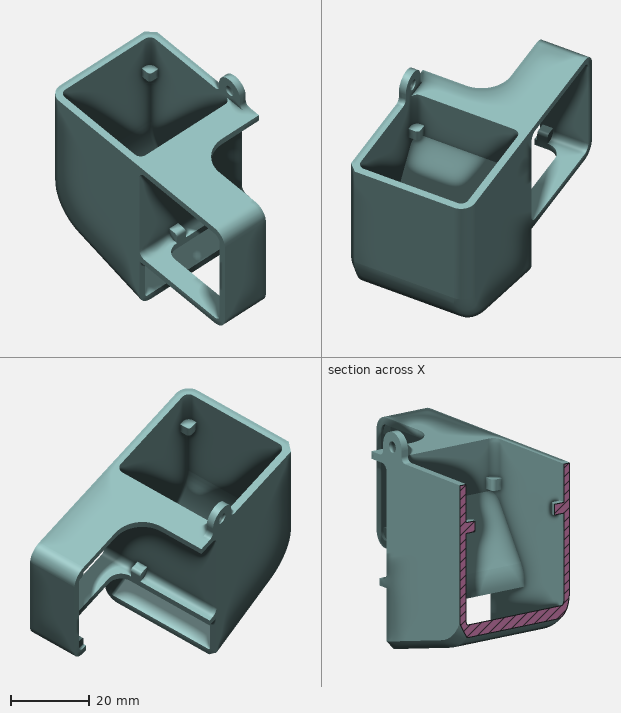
import math

import cadquery as cq

wall = 2.0
opening = 31.0
box = opening + 2 * wall
outer_radius = 4.0
opening_radius = 2.0

total_width = 2 * box - wall
frame_depth = 14.0
plate_right = 41.6
plate_radius = 8.5

fan_depth = 10.2
stop_size = 3.0
stop_radius = 1.0
stop_overlap = 0.5

floor_angle = 14.25
bend_radius = 14.0
bend_start = -31.87
rear_chamfer = outer_radius * (2 - math.sqrt(2))
floor_radius = 0.7

deflector_angle = 56.6
deflector_top = -14.0
nose_radius = 10.6
nose_x = 20.1

notch_front = 6.0
notch_radius = 4.0

lug_x = 32.5
lug_height = 3.25
lug_radius = 4.0
lug_thickness = 2.0
lug_foot_radius = 1.5
lug_hole = 3.0


def on_xz(y):
    """Sketch plane parallel to XZ at the given Y; extrusions run toward +Y."""
    return cq.Workplane(cq.Plane(origin=(0, y, 0), xDir=(1, 0, 0), normal=(0, -1, 0)))


def pot_profile(y, depth, inset):
    """Pot side outline, offset inward by inset on its left side and floor."""
    angle = math.radians(floor_angle)
    radius = bend_radius - inset
    middle = (math.pi / 2 - angle) / 2
    middle_point = (bend_radius - radius * math.cos(middle), bend_start - radius * math.sin(middle))
    floor_x = bend_radius - radius * math.sin(angle)
    floor_z = bend_start - radius * math.cos(angle)
    end_z = floor_z - (box - floor_x) * math.tan(angle)
    return (
        on_xz(y)
        .moveTo(box, 0)
        .lineTo(inset, 0)
        .lineTo(inset, bend_start)
        .threePointArc(middle_point, (floor_x, floor_z))
        .lineTo(box, end_z)
        .close()
        .extrude(-depth)
    )


def outline_edges(solid, y):
    """Edges of the left side, bend and floor lying in the plane at the given Y."""
    near = 0.01
    right_limit = box - near
    selector = cq.selectors.BoxSelector((-near, y - near, -2 * box), (right_limit, y + near, -near))
    return solid.edges(selector)


def pot_body():
    body = pot_profile(0, box, 0)
    body = outline_edges(body, 0).fillet(outer_radius)
    return outline_edges(body, box).chamfer(rear_chamfer)


def deflector():
    """Wedge that turns the flow from the upper opening toward the outlet at +X."""
    angle = math.radians(deflector_angle)
    inner_x = box - wall
    center_x = nose_x + nose_radius
    tangent_x = center_x - nose_radius * math.sin(angle)
    tangent_z = deflector_top - (inner_x - tangent_x) * math.tan(angle)
    center_z = tangent_z - nose_radius * math.cos(angle)
    middle = angle + (math.pi / 2 - angle) / 2
    middle_point = (center_x - nose_radius * math.sin(middle), center_z + nose_radius * math.cos(middle))
    return (
        on_xz(0)
        .moveTo(box, 0)
        .lineTo(inner_x, 0)
        .lineTo(inner_x, deflector_top)
        .lineTo(tangent_x, tangent_z)
        .threePointArc(middle_point, (nose_x, center_z))
        .lineTo(box, center_z)
        .close()
        .extrude(-box)
    )


def pot_cavity():
    angle = math.radians(deflector_angle)
    shaft_depth = -deflector_top + opening_radius * math.tan(angle)
    shaft = (
        cq.Workplane("XY")
        .center(box / 2, box / 2)
        .rect(opening, opening)
        .extrude(-shaft_depth)
        .edges("|Z")
        .fillet(opening_radius)
    )
    duct = pot_profile(wall, opening, wall)
    for y in (wall, box - wall):
        duct = outline_edges(duct, y).fillet(floor_radius)
    above_duct = cq.Workplane("XY").box(box, box, shaft_depth, centered=False)
    duct = duct.cut(above_duct.translate((0, 0, -shaft_depth)))
    return shaft.union(duct).cut(deflector())


def frame_body():
    left = box - wall
    body = (
        cq.Workplane("XY")
        .moveTo(left, 0)
        .lineTo(total_width, 0)
        .lineTo(total_width, frame_depth)
        .lineTo(plate_right + plate_radius, frame_depth)
        .radiusArc((plate_right, frame_depth + plate_radius), plate_radius)
        .lineTo(plate_right, box)
        .lineTo(left, box)
        .close()
        .extrude(-box)
    )
    return body.edges("|Y and >X").fillet(outer_radius)


def frame_opening():
    return (
        on_xz(0)
        .center(box + opening / 2, -box / 2)
        .rect(opening, opening)
        .extrude(-box)
        .edges("|Y")
        .fillet(opening_radius)
    )


def frame_notch():
    """Cut through the lower wall, open to the rear, between the fan stops."""
    width = opening - 2 * stop_size
    return (
        cq.Workplane("XY")
        .box(width, box, wall, centered=False)
        .edges("|Z and <Y")
        .fillet(notch_radius)
        .translate((box + stop_size, notch_front, -box))
    )


def corner_stops():
    """Four corner blocks for an opening centred on the origin that faces +Z."""
    reach = stop_size + stop_overlap
    offset = opening / 2 + stop_overlap - reach / 2
    stops = cq.Workplane("XY")
    for side_x in (-1, 1):
        for side_y in (-1, 1):
            inner_x = ">X" if side_x < 0 else "<X"
            inner_y = ">Y" if side_y < 0 else "<Y"
            stop = cq.Workplane("XY").box(reach, reach, stop_size)
            stop = stop.faces(inner_x).edges(inner_y).fillet(stop_radius)
            stop = stop.translate((side_x * offset, side_y * offset, -fan_depth - stop_size / 2))
            stops = stops.add(stop)
    return stops.combine()


def lug():
    half_foot = lug_radius + lug_foot_radius
    body = (
        on_xz(box - lug_thickness)
        .moveTo(lug_x - half_foot, 0)
        .radiusArc((lug_x - lug_radius, lug_foot_radius), -lug_foot_radius)
        .lineTo(lug_x - lug_radius, lug_height)
        .threePointArc((lug_x, lug_height + lug_radius), (lug_x + lug_radius, lug_height))
        .lineTo(lug_x + lug_radius, lug_foot_radius)
        .radiusArc((lug_x + half_foot, 0), -lug_foot_radius)
        .close()
        .extrude(-lug_thickness)
    )
    hole = on_xz(0).center(lug_x, lug_height).circle(lug_hole / 2).extrude(-box)
    return body.cut(hole)


def build():
    pot_stops = corner_stops().translate((box / 2, box / 2, 0))
    frame_stops = corner_stops().rotate((0, 0, 0), (1, 0, 0), 90)
    frame_stops = frame_stops.translate((box + opening / 2, 0, -box / 2))
    part = frame_body().cut(frame_opening()).cut(frame_notch())
    part = part.union(pot_body()).cut(pot_cavity())
    return part.union(pot_stops).union(frame_stops).union(lug())


result = build()